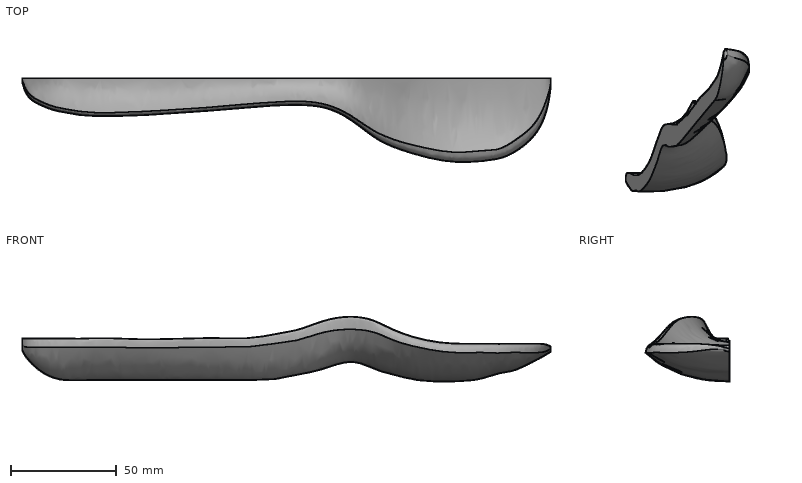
import cadquery as cq

LENGTH = 249.8
SIDE_FULLNESS = 0.65
FLOOR_FULLNESS = 0.6
LIP_ROUNDNESS = 0.9

HANDLE_SECTIONS = [
    (0.0, 1.7, 15.0, 19.2, 20.5, 1.0, 2.7),
    (1.0, 5.0, 13.0, 18.0, 20.5, 1.5, 3.7),
    (3.2, 9.0, 10.0, 16.5, 20.5, 1.7, 4.2),
    (7.7, 12.2, 5.7, 14.0, 20.5, 1.7, 4.2),
    (13.7, 14.7, 2.2, 11.5, 20.5, 1.7, 4.2),
    (20.0, 16.2, 0.7, 10.5, 20.5, 1.7, 4.2),
    (30.0, 17.7, 0.7, 10.0, 20.5, 1.7, 4.2),
    (45.0, 18.0, 0.7, 10.0, 20.5, 1.7, 4.2),
    (75.0, 16.5, 0.7, 10.2, 20.5, 1.7, 4.2),
    (97.5, 14.7, 0.7, 10.2, 20.5, 1.7, 4.2),
]
NECK_SECTIONS = [
    (112.5, 13.5, 0.7, 11.0, 21.2, 1.7, 4.2),
    (125.0, 12.7, 2.2, 12.5, 23.5, 1.7, 4.7),
    (138.5, 13.2, 5.0, 16.0, 27.5, 1.7, 5.2),
    (147.4, 15.5, 7.7, 18.0, 30.0, 1.7, 5.7),
    (154.9, 19.5, 9.2, 18.7, 30.7, 2.0, 6.0),
    (162.3, 25.0, 7.7, 17.5, 30.0, 2.5, 5.7),
    (169.8, 30.0, 4.7, 15.2, 27.2, 3.2, 5.2),
]
BOWL_SECTIONS = [
    (179.3, 34.0, 2.2, 12.0, 23.0, 3.7, 4.7),
    (188.3, 36.7, 0.5, 9.7, 20.2, 4.2, 4.2),
    (198.5, 39.0, 0.0, 8.7, 18.5, 4.5, 4.2),
    (208.5, 39.7, 0.2, 8.7, 18.0, 4.7, 4.2),
    (219.8, 39.0, 2.2, 10.0, 18.0, 4.7, 4.2),
    (229.0, 36.7, 4.5, 12.2, 18.0, 5.0, 4.2),
    (238.0, 31.0, 7.7, 15.2, 18.0, 5.5, 4.2),
    (242.5, 26.2, 10.0, 16.5, 18.0, 5.5, 4.2),
    (247.0, 17.5, 12.5, 17.2, 17.7, 5.5, 3.5),
    (249.0, 9.2, 13.7, 16.5, 17.0, 3.7, 1.7),
    (LENGTH, 3.0, 14.2, 15.7, 16.2, 1.2, 1.0),
]


def section_wire(x, half_width, underside, floor, rim, lip_width, lip_height):
    """Closed half section: underside, rounded lip, inner floor and the split face."""
    bottom = cq.Vector(x, 0, underside)
    wall_edge = cq.Vector(x, -half_width, rim - lip_height)
    inner_edge = cq.Vector(x, -half_width + lip_width, rim)
    floor_centre = cq.Vector(x, 0, floor)

    underside_pole = cq.Vector(x, -SIDE_FULLNESS * half_width, underside)
    lip_pole = cq.Vector(x, -half_width + lip_width * (1 - LIP_ROUNDNESS), rim)
    floor_pole = cq.Vector(x, -FLOOR_FULLNESS * (half_width - lip_width), floor)

    return cq.Wire.assembleEdges([
        cq.Edge.makeBezier([bottom, underside_pole, wall_edge]),
        cq.Edge.makeBezier([wall_edge, lip_pole, inner_edge]),
        cq.Edge.makeBezier([inner_edge, floor_pole, floor_centre]),
        cq.Edge.makeLine(floor_centre, bottom),
    ])


sections = HANDLE_SECTIONS + NECK_SECTIONS + BOWL_SECTIONS
spoon_half = cq.Solid.makeLoft([section_wire(*section) for section in sections])
result = cq.Workplane("XY").newObject([spoon_half])